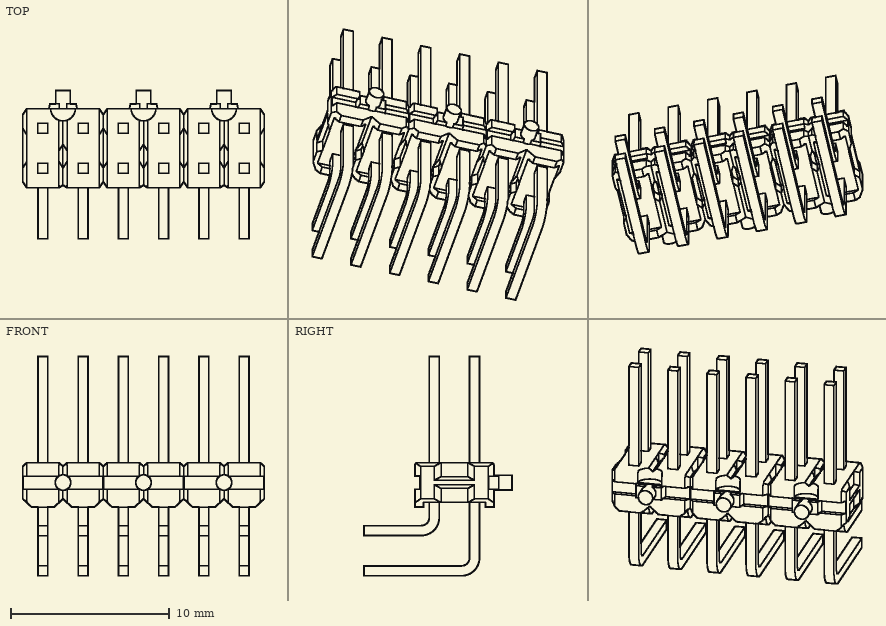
import cadquery as cq


length = 15.24
columns = 6
pitch = length / columns
pin_rows = 2
columns_per_unit = 2

housing_depth = 5.0
housing_height = 2.51
foot_height = 0.29
foot_depth = 0.55
foot_width = 1.43
top_chamfer_width = 0.26
top_chamfer_height = 0.23
lower_chamfer_start = 2.29
edge_radius = 0.18
rear_y = housing_depth / 2
front_y = -rear_y
mid_z = -housing_height / 2
foot_bottom = -(housing_height + foot_height)

groove_depth = 0.32
groove_height = 0.82
groove_top = mid_z + groove_height / 2
groove_bottom = mid_z - groove_height / 2

notch_width = 0.26
end_notch_depth = 0.37
middle_notch_depth = 0.17

pocket_depth = 0.26
pocket_half_length = 1.26
pocket_rear_at_peg = 0.26
pocket_end_slope = 0.43
pocket_web_slope = 0.23
web_height = 0.29

peg_radius = 0.47
peg_tip_y = 3.64
key_tip_y = 2.8
key_root_width = 1.92
key_tip_width = 1.66
socket_radius = 0.49
socket_depth = peg_tip_y - rear_y
relief_radius = 0.78
relief_depth = 0.75

pin_size = 0.64
pin_top = 6.7
pin_tip_y = -5.72
lowest_pin_bottom = -7.15
bend_inner_radius = 0.5
bend_radius = bend_inner_radius + pin_size / 2

column_positions = [(i + 0.5) * pitch - length / 2 for i in range(columns)]
joint_positions = [i * pitch - length / 2 for i in range(columns + 1)]
end_joints = joint_positions[::columns_per_unit]
peg_joints = joint_positions[1::columns_per_unit]


def housing_side_profile():
    """Cross-section in the YZ plane, with feet, grooves and rounded top edges, run along the length."""
    foot_inner_y = rear_y - foot_depth
    groove_y = rear_y - groove_depth
    return (
        cq.Workplane("YZ", origin=(-length / 2, 0, 0))
        .moveTo(front_y + edge_radius, 0)
        .lineTo(rear_y - edge_radius, 0)
        .radiusArc((rear_y, -edge_radius), edge_radius)
        .lineTo(rear_y, groove_top)
        .lineTo(groove_y, groove_top)
        .lineTo(groove_y, groove_bottom)
        .lineTo(rear_y, groove_bottom)
        .lineTo(rear_y, foot_bottom)
        .lineTo(foot_inner_y, foot_bottom)
        .lineTo(foot_inner_y, -housing_height)
        .lineTo(-foot_inner_y, -housing_height)
        .lineTo(-foot_inner_y, foot_bottom)
        .lineTo(front_y, foot_bottom)
        .lineTo(front_y, groove_bottom)
        .lineTo(-groove_y, groove_bottom)
        .lineTo(-groove_y, groove_top)
        .lineTo(front_y, groove_top)
        .lineTo(front_y, -edge_radius)
        .radiusArc((front_y + edge_radius, 0), edge_radius)
        .close()
        .extrude(length)
    )


def housing_front_profile():
    """Row of chamfered cells, one per pin column, run through the housing depth."""
    top_half = pitch / 2 - top_chamfer_width
    cell = (
        cq.Workplane("XZ", origin=(0, rear_y, 0))
        .polyline([
            (-top_half, 0),
            (top_half, 0),
            (pitch / 2, -top_chamfer_height),
            (pitch / 2, -lower_chamfer_start),
            (foot_width / 2, foot_bottom),
            (-foot_width / 2, foot_bottom),
            (-pitch / 2, -lower_chamfer_start),
            (-pitch / 2, -top_chamfer_height),
        ])
        .close()
        .extrude(housing_depth)
    )
    row = cell.translate((column_positions[0], 0, 0))
    for x in column_positions[1:]:
        row = row.union(cell.translate((x, 0, 0)))
    return row


def corner_notch(x, face_y, depth):
    """Full-height V notch at a joint; a positive depth cuts toward +Y."""
    return (
        cq.Workplane("XY", origin=(x, face_y, foot_bottom))
        .polyline([(-notch_width, 0), (notch_width, 0), (0, depth)])
        .close()
        .extrude(-foot_bottom)
    )


def web_pocket(x, rear_end, side, open_z, web_z, web_slope):
    """Pocket with sloped ends and sloped web, cut from the joint plane toward side (+1 or -1)."""
    rear_floor = rear_end - pocket_end_slope
    front_floor = -pocket_half_length + pocket_end_slope
    mouth = [
        (-pocket_half_length, open_z),
        (rear_end, open_z),
        (rear_end, web_z),
        (-pocket_half_length, web_z),
    ]
    floor = [
        (front_floor, open_z),
        (rear_floor, open_z),
        (rear_floor, web_z + web_slope),
        (front_floor, web_z + web_slope),
    ]
    return (
        cq.Workplane("YZ", origin=(x, 0, 0))
        .polyline(mouth)
        .close()
        .workplane(offset=side * pocket_depth)
        .polyline(floor)
        .close()
        .loft(ruled=True)
    )


def cut_pockets(body, x, rear_end):
    """Cut the upper and lower pockets on both sides of one joint."""
    web_top = mid_z + web_height / 2
    web_bottom = mid_z - web_height / 2
    for side in (-1, 1):
        body = body.cut(web_pocket(x, rear_end, side, 0, web_top, pocket_web_slope))
        body = body.cut(web_pocket(x, rear_end, side, -housing_height, web_bottom, -pocket_web_slope))
    return body


def housing():
    body = housing_side_profile().intersect(housing_front_profile())
    for x in end_joints:
        body = body.cut(corner_notch(x, front_y, end_notch_depth))
        body = body.cut(corner_notch(x, rear_y, -end_notch_depth))
        body = cut_pockets(body, x, pocket_half_length)
    for x in peg_joints:
        body = body.cut(corner_notch(x, front_y, middle_notch_depth))
        body = cut_pockets(body, x, pocket_rear_at_peg)
        body = body.cut(socket(x)).cut(relief(x))
    return body


def socket(x):
    """Blind round hole in the front face."""
    return cq.Workplane("XZ", origin=(x, front_y, mid_z)).circle(socket_radius).extrude(-socket_depth)


def relief(x):
    """Half-round step in the top face, above the peg."""
    return cq.Workplane("XY", origin=(x, rear_y, -relief_depth)).circle(relief_radius).extrude(relief_depth)


def peg(x):
    """Round peg with a tapered key at its root, standing in the rear groove."""
    root_y = rear_y - groove_depth
    key = (
        cq.Workplane("XY", origin=(x, 0, groove_bottom))
        .polyline([
            (-key_root_width / 2, root_y),
            (key_root_width / 2, root_y),
            (key_tip_width / 2, key_tip_y),
            (-key_tip_width / 2, key_tip_y),
        ])
        .close()
        .extrude(groove_height)
    )
    post = cq.Workplane("XZ", origin=(x, root_y, mid_z)).circle(peg_radius).extrude(root_y - peg_tip_y)
    return key.union(post)


def pin(x, row):
    """Square bent pin; row 0 is the rear row, and each row forward ends one pitch higher."""
    y = ((pin_rows - 1) / 2 - row) * pitch
    leg_z = lowest_pin_bottom + pin_size / 2 + row * pitch
    path = (
        cq.Workplane("YZ", origin=(x, 0, 0))
        .moveTo(y, pin_top)
        .lineTo(y, leg_z + bend_radius)
        .radiusArc((y - bend_radius, leg_z), bend_radius)
        .lineTo(pin_tip_y, leg_z)
    )
    return cq.Workplane("XY", origin=(x, y, pin_top)).rect(pin_size, pin_size).sweep(path)


result = housing()
for joint_x in peg_joints:
    result = result.union(peg(joint_x))
for column_x in column_positions:
    for pin_row in range(pin_rows):
        result = result.union(pin(column_x, pin_row))